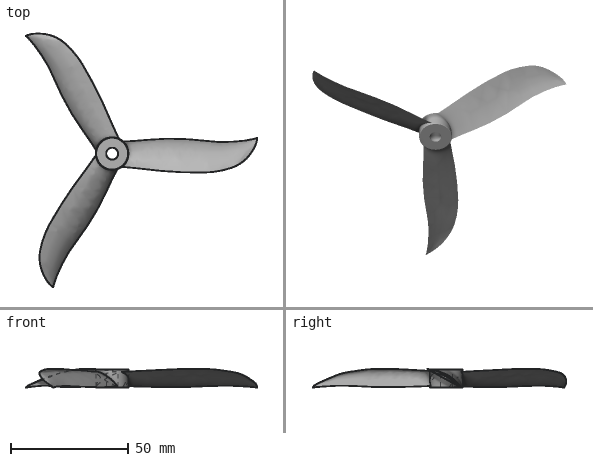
import cadquery as cq
import math

hub_diameter = 14.0
bore_diameter = 5.0
hub_height = 7.9
hub_edge_chamfer = 0.2

blade_count = 3
camber_share = 0.07

blade_sections = [
    (2.7, -5.6, 6.7, 5.2, 0.9, 2.2),
    (8.7, -6.1, 7.2, 5.4, 0.7, 1.8),
    (15.2, -6.8, 7.5, 6.0, 0.4, 1.5),
    (21.7, -7.5, 7.8, 6.4, 0.3, 1.2),
    (28.2, -7.9, 8.1, 6.4, 0.3, 1.0),
    (34.7, -8.1, 8.2, 6.1, 0.4, 0.8),
    (41.2, -8.0, 8.1, 5.4, 0.8, 0.7),
    (46.7, -7.3, 7.6, 5.0, 0.9, 0.7),
    (51.0, -6.1, 7.0, 5.1, 0.9, 0.5),
    (54.3, -4.6, 6.2, 5.3, 0.8, 0.5),
    (57.5, -2.0, 4.7, 5.8, 0.5, 0.4),
    (60.2, 1.6, 2.8, 6.3, 0.3, 0.3),
    (62.0, 6.4, 0.3, 6.8, 0.0, 0.05),
]


def section_wire(distance, lead_y, lead_z, trail_y, trail_z, thickness):
    """Airfoil outline: two curves that meet at sharp leading and trailing edges."""
    chord_y = trail_y - lead_y
    chord_z = trail_z - lead_z
    chord = math.hypot(chord_y, chord_z)
    camber = camber_share * chord

    def mid_chord(offset):
        """Point at the chord middle, moved square to the chord toward its upper side."""
        y = (lead_y + trail_y) / 2 - offset * chord_z / chord
        z = (lead_z + trail_z) / 2 + offset * chord_y / chord
        return cq.Vector(distance, y, z)

    lead = cq.Vector(distance, lead_y, lead_z)
    trail = cq.Vector(distance, trail_y, trail_z)
    upper = cq.Edge.makeThreePointArc(lead, mid_chord(camber + thickness / 2), trail)
    lower = cq.Edge.makeThreePointArc(trail, mid_chord(camber - thickness / 2), lead)
    return cq.Wire.assembleEdges([upper, lower])


def make_blade():
    """Blade along +X, smoothly lofted from inside the hub to the pointed tip."""
    wires = [section_wire(*section) for section in blade_sections]
    return cq.Workplane(obj=cq.Solid.makeLoft(wires))


hub = cq.Workplane("XY").circle(hub_diameter / 2).extrude(hub_height)
hub = hub.faces("<Z or >Z").edges().chamfer(hub_edge_chamfer)
bore = cq.Workplane("XY").circle(bore_diameter / 2).extrude(hub_height)

blade = make_blade()
result = hub
for index in range(blade_count):
    result = result.union(blade.rotate((0, 0, 0), (0, 0, 1), index * 360 / blade_count))
result = result.cut(bore)